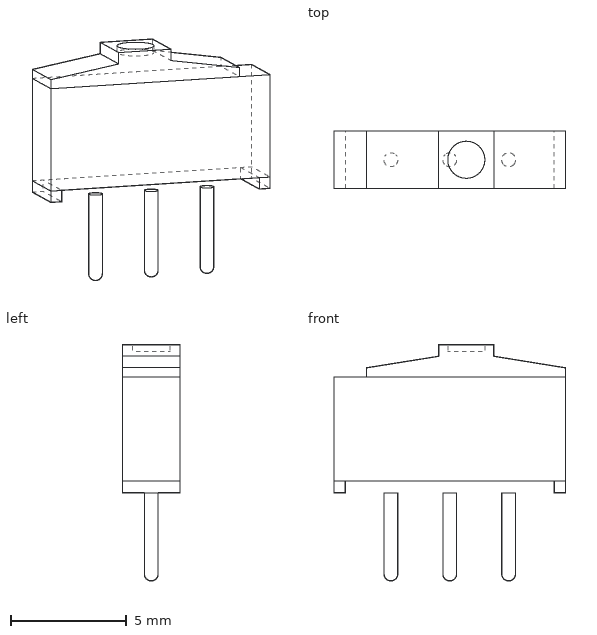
import cadquery as cq

TOTAL_HEIGHT = 10.2
LENGTH = 10.0
DEPTH = 2.5

SLIDER_LEFT = -3.6
SLIDER_RIGHT = LENGTH / 2
SLIDER_EDGE_HEIGHT = 0.4
SLIDER_SHOULDER_HEIGHT = 0.9
SLIDER_HEIGHT = 1.4
KNOB_LEFT = -0.48
KNOB_WIDTH = 2.39
KNOB_RIGHT = KNOB_LEFT + KNOB_WIDTH
DIMPLE_DIAMETER = 1.6
DIMPLE_DEPTH = 0.3

HOUSING_HEIGHT = 4.5
FOOT_SIZE = 0.5

PIN_DIAMETER = 0.6
PIN_PITCH = 2.54
PIN_COUNT = 3

HOUSING_TOP = TOTAL_HEIGHT - SLIDER_HEIGHT
HOUSING_BOTTOM = HOUSING_TOP - HOUSING_HEIGHT
FEET_BOTTOM = HOUSING_BOTTOM - FOOT_SIZE


def make_housing():
    return (
        cq.Workplane("XY")
        .workplane(offset=HOUSING_BOTTOM)
        .rect(LENGTH, DEPTH)
        .extrude(HOUSING_HEIGHT)
    )


def make_slider():
    """Ramped actuator with a raised knob and a round finger dimple."""
    edge_top = HOUSING_TOP + SLIDER_EDGE_HEIGHT
    shoulder = HOUSING_TOP + SLIDER_SHOULDER_HEIGHT
    profile = [
        (SLIDER_LEFT, HOUSING_TOP),
        (SLIDER_RIGHT, HOUSING_TOP),
        (SLIDER_RIGHT, edge_top),
        (KNOB_RIGHT, shoulder),
        (KNOB_RIGHT, TOTAL_HEIGHT),
        (KNOB_LEFT, TOTAL_HEIGHT),
        (KNOB_LEFT, shoulder),
        (SLIDER_LEFT, edge_top),
    ]
    slider = cq.Workplane("XZ").polyline(profile).close().extrude(DEPTH / 2, both=True)
    dimple = (
        cq.Workplane("XY")
        .workplane(offset=TOTAL_HEIGHT - DIMPLE_DEPTH)
        .center((KNOB_LEFT + KNOB_RIGHT) / 2, 0)
        .circle(DIMPLE_DIAMETER / 2)
        .extrude(DIMPLE_DEPTH)
    )
    return slider.cut(dimple)


def make_foot(side):
    """Square bar under one end of the housing; side is -1 or +1."""
    return (
        cq.Workplane("XY")
        .workplane(offset=FEET_BOTTOM)
        .center(side * (LENGTH - FOOT_SIZE) / 2, 0)
        .rect(FOOT_SIZE, DEPTH)
        .extrude(FOOT_SIZE)
    )


def make_pin(x):
    """Round pin with a hemispherical tip; its top is level with the feet bottoms."""
    radius = PIN_DIAMETER / 2
    shank = (
        cq.Workplane("XY")
        .workplane(offset=radius)
        .center(x, 0)
        .circle(radius)
        .extrude(FEET_BOTTOM - radius)
    )
    tip = cq.Workplane("XY").sphere(radius).translate((x, 0, radius))
    return shank.union(tip)


housing = make_housing()
slider = make_slider()
feet = [make_foot(side) for side in (-1, 1)]
pins = [make_pin((i - (PIN_COUNT - 1) / 2) * PIN_PITCH) for i in range(PIN_COUNT)]

result = cq.Compound.makeCompound(
    [housing.val(), slider.val(), *[foot.val() for foot in feet], *[pin.val() for pin in pins]]
)